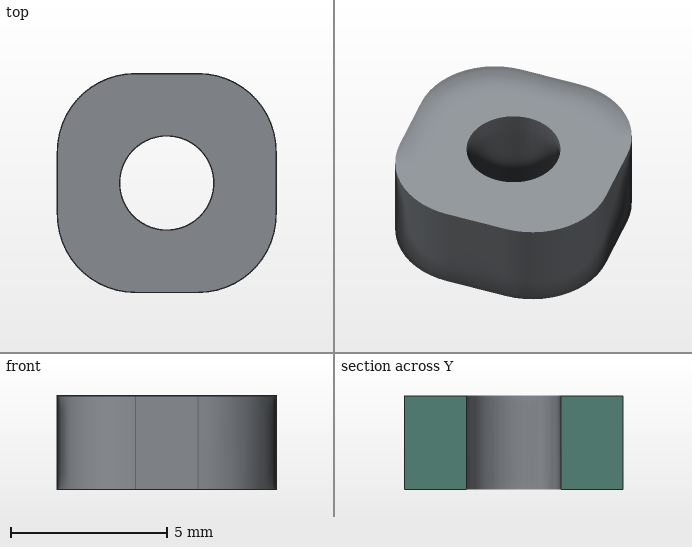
import cadquery as cq

side = 7.0
height = 3.0
corner_radius = 2.5
hole_diameter = 3.0

block = cq.Workplane("XY").rect(side, side).extrude(height).edges("|Z").fillet(corner_radius)

result = block.faces(">Z").workplane().hole(hole_diameter)